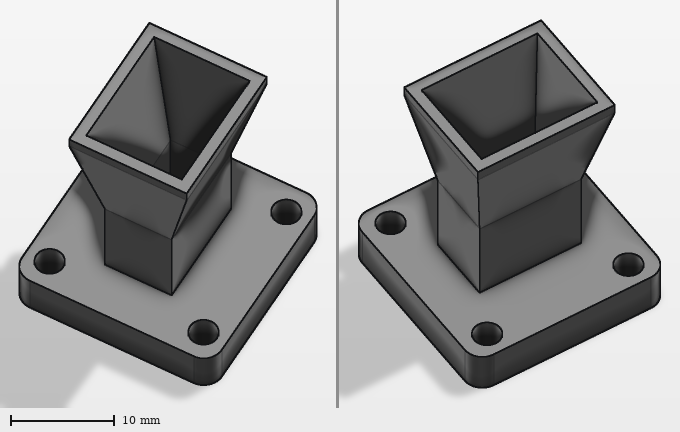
import cadquery as cq

total_height = 26.0
flange_side = 22.1
flange_thickness = 4.5
flange_corner_radius = 2.0

hole_diameter = 2.95
hole_spacing_x = 17.0
hole_spacing_y = 16.25

bore_x = 4.32
bore_y = 8.63
neck_x = 7.38
neck_y = 11.7

neck_top = 13.83
rim_height = 1.1
rim_x = 13.0
rim_y = 15.75
rim_wall = 1.22
rim_bottom = total_height - rim_height
mouth_x = rim_x - 2 * rim_wall
mouth_y = rim_y - 2 * rim_wall


def block(size_x, size_y, bottom, top):
    """Rectangular block centred on the Z axis."""
    return cq.Workplane("XY").workplane(offset=bottom).rect(size_x, size_y).extrude(top - bottom)


def flare(bottom_x, bottom_y, top_x, top_y, bottom, top):
    """Rectangular frustum centred on the Z axis."""
    return (
        cq.Workplane("XY")
        .workplane(offset=bottom)
        .rect(bottom_x, bottom_y)
        .workplane(offset=top - bottom)
        .rect(top_x, top_y)
        .loft(ruled=True)
    )


flange = (
    block(flange_side, flange_side, 0, flange_thickness)
    .edges("|Z")
    .fillet(flange_corner_radius)
    .faces(">Z")
    .workplane()
    .rect(hole_spacing_x, hole_spacing_y, forConstruction=True)
    .vertices()
    .hole(hole_diameter)
)

neck = block(neck_x, neck_y, 0, neck_top)
horn = flare(neck_x, neck_y, rim_x, rim_y, neck_top, rim_bottom)
rim = block(rim_x, rim_y, rim_bottom, total_height)

bore = block(bore_x, bore_y, 0, neck_top)
mouth = flare(bore_x, bore_y, mouth_x, mouth_y, neck_top, total_height)

result = flange.union(neck).union(horn).union(rim).cut(bore).cut(mouth)